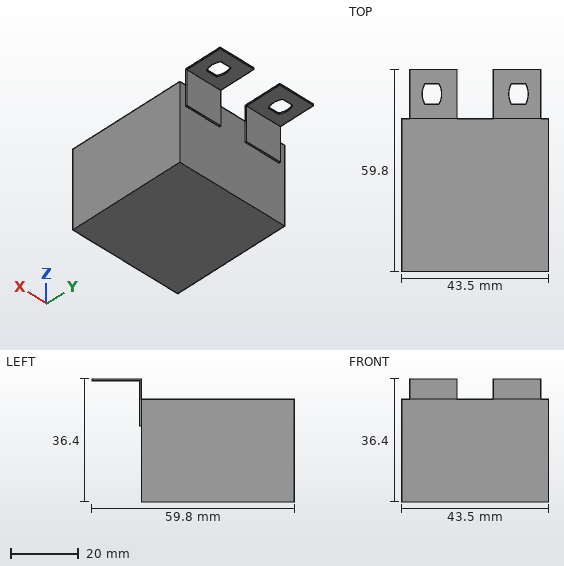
import cadquery as cq

total_depth = 59.8
total_height = 36.4

case_width = 43.5
case_height = 30.45

terminal_width = 14.05
terminal_thickness = 0.6
terminal_reach = 14.6
terminal_leg_height = 14.0
terminal_spacing = 24.7

hole_spacing = 25.6
hole_length = 6.05
hole_flat_width = 4.1
hole_max_width = 5.7

case_depth = total_depth - terminal_reach


def make_case():
    """Plain block standing on Z = 0, its back face on Y = 0."""
    return cq.Workplane("XY").box(
        case_width, case_depth, case_height, centered=(True, False, False)
    ).translate((0, -case_depth, 0))


def make_hole_cutter(hole_x):
    """Prism with flat ends along Y and bulging arcs on both X sides."""
    half_flat = hole_flat_width / 2
    half_width = hole_max_width / 2
    half_length = hole_length / 2
    return (
        cq.Workplane("XY", origin=(hole_x, terminal_reach / 2, total_height - terminal_thickness))
        .moveTo(-half_flat, -half_length)
        .lineTo(half_flat, -half_length)
        .threePointArc((half_width, 0), (half_flat, half_length))
        .lineTo(-half_flat, half_length)
        .threePointArc((-half_width, 0), (-half_flat, -half_length))
        .close()
        .extrude(terminal_thickness)
    )


def make_terminal(side):
    """Bent strip: leg flat against the case, foot reaching out along +Y at the top."""
    bracket = (
        cq.Workplane("YZ", origin=(side * terminal_spacing / 2, 0, 0))
        .moveTo(0, total_height)
        .lineTo(terminal_reach, total_height)
        .lineTo(terminal_reach, total_height - terminal_thickness)
        .lineTo(terminal_thickness, total_height - terminal_thickness)
        .lineTo(terminal_thickness, total_height - terminal_leg_height)
        .lineTo(0, total_height - terminal_leg_height)
        .close()
        .extrude(terminal_width / 2, both=True)
    )
    return bracket.cut(make_hole_cutter(side * hole_spacing / 2))


case = make_case()
terminals = [make_terminal(side) for side in (-1, 1)]

result = cq.Compound.makeCompound([case.val(), *[terminal.val() for terminal in terminals]])